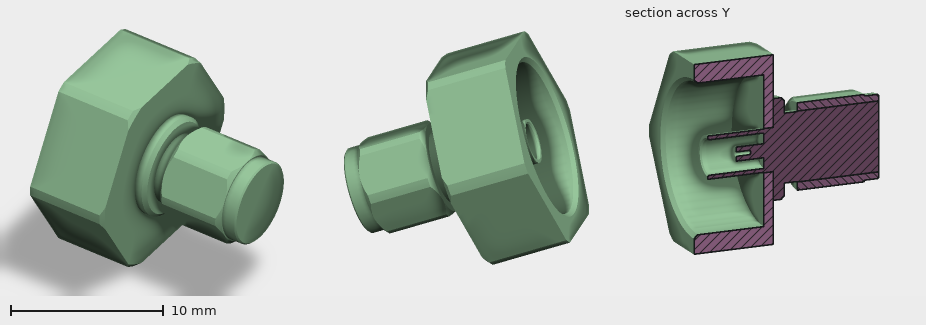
import cadquery as cq
import math


LARGE_FLATS = 13.0
LARGE_CORNERS = 14.6
LARGE_LENGTH = 5.72
LARGE_BACK_CHAMFER = 0.26
BORE_DIAMETER = 10.35
BORE_DEPTH = 5.0
BORE_CHAMFER = 0.26

SMALL_FLATS = 6.0
SMALL_CORNERS = 6.6
SMALL_START = 7.4
SMALL_HEX_LENGTH = 4.82
SMALL_CHAMFER = (SMALL_CORNERS - SMALL_FLATS) / 2
COLLAR_DIAMETER = 5.8
COLLAR_CHAMFER = 0.1
OVERALL_LENGTH = 13.25

TUBE_DIAMETER = 3.0
TUBE_START = 1.0
TUBE_BORE_DIAMETER = 2.4
TUBE_BORE_CHAMFER = 0.1
FLANGE_DIAMETER = 7.0
FLANGE_LENGTH = 0.79
FLANGE_CHAMFER = 0.26
NECK_DIAMETER = 4.82

PIN_DIAMETER = 1.0
PIN_LENGTH = 1.99
SOCKET_DIAMETER = 0.26
SOCKET_DEPTH = 1.0
SOCKET_CHAMFER = 0.09
DRILL_POINT_ANGLE = 118


def cylinder(diameter, start, end):
    """Cylinder about the X axis between two X positions."""
    return cq.Workplane("YZ", origin=(start, 0, 0)).circle(diameter / 2).extrude(end - start)


def hex_prism(flats, start, end):
    """Hexagonal prism along X with two corners on the Y axis."""
    corner_diameter = flats / math.cos(math.pi / 6)
    return cq.Workplane("YZ", origin=(start, 0, 0)).polygon(6, corner_diameter).extrude(end - start)


def make_large_nut():
    """Hexagonal cup whose floor has a close hole for the tube."""
    envelope = cylinder(LARGE_CORNERS, 0, LARGE_LENGTH).faces(">X").chamfer(LARGE_BACK_CHAMFER)
    nut = hex_prism(LARGE_FLATS, 0, LARGE_LENGTH).intersect(envelope)
    nut = nut.cut(cylinder(BORE_DIAMETER, 0, BORE_DEPTH))
    nut = nut.edges(cq.selectors.RadiusNthSelector(0)).edges("<X").chamfer(BORE_CHAMFER)
    return nut.cut(cylinder(TUBE_DIAMETER, BORE_DEPTH, LARGE_LENGTH))


def make_small_nut():
    """Hexagonal nut with a round front collar and a through hole for the neck."""
    hex_end = SMALL_START + SMALL_HEX_LENGTH
    envelope = cylinder(SMALL_CORNERS, SMALL_START, hex_end).faces("<X or >X").chamfer(SMALL_CHAMFER)
    nut = hex_prism(SMALL_FLATS, SMALL_START, hex_end).intersect(envelope)
    collar = cylinder(COLLAR_DIAMETER, hex_end, OVERALL_LENGTH).faces(">X").chamfer(COLLAR_CHAMFER)
    return nut.union(collar).cut(cylinder(NECK_DIAMETER, SMALL_START, OVERALL_LENGTH))


def make_pin():
    """Contact pin with a chamfered, drilled socket in its tip."""
    pin_start = BORE_DEPTH - PIN_LENGTH
    pin = cylinder(PIN_DIAMETER, pin_start, BORE_DEPTH)
    socket_end = pin_start + SOCKET_DEPTH
    pin = pin.cut(cylinder(SOCKET_DIAMETER, pin_start, socket_end))
    socket_mouth = cq.selectors.RadiusNthSelector(0)
    pin = pin.faces("<X").edges(socket_mouth).chamfer(SOCKET_CHAMFER)
    socket_radius = SOCKET_DIAMETER / 2
    point_length = socket_radius / math.tan(math.radians(DRILL_POINT_ANGLE / 2))
    drill_point = cq.Solid.makeCone(
        socket_radius, 0, point_length, cq.Vector(socket_end, 0, 0), cq.Vector(1, 0, 0)
    )
    return pin.cut(cq.Workplane(drill_point))


def make_connector_body():
    """Tube, flange behind the large nut, and neck through the small nut."""
    flange_end = LARGE_LENGTH + FLANGE_LENGTH
    tube = cylinder(TUBE_DIAMETER, TUBE_START, LARGE_LENGTH)
    tube = tube.cut(cylinder(TUBE_BORE_DIAMETER, TUBE_START, BORE_DEPTH))
    tube_mouth = cq.selectors.RadiusNthSelector(0)
    tube = tube.faces("<X").edges(tube_mouth).chamfer(TUBE_BORE_CHAMFER)
    flange = cylinder(FLANGE_DIAMETER, LARGE_LENGTH, flange_end).faces(">X").chamfer(FLANGE_CHAMFER)
    neck = cylinder(NECK_DIAMETER, flange_end, OVERALL_LENGTH)
    return tube.union(flange).union(neck).union(make_pin())


large_nut = make_large_nut()
small_nut = make_small_nut()
connector_body = make_connector_body()

result = cq.Compound.makeCompound([large_nut.val(), small_nut.val(), connector_body.val()])